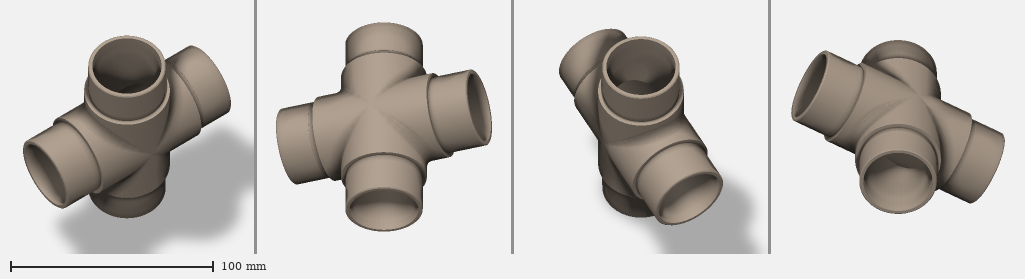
import cadquery as cq

span = 100.0
body_length = 60.0
body_diameter = 42.4
spigot_diameter = 38.3
neck_diameter = 37.9
neck_length = 3.0
bore_diameter = 34.2
end_chamfer = 0.5
crotch_radius = 4.0

tube_planes = ("XY", "XZ")


def centred_cylinder(plane, diameter, length):
    """Cylinder centred on the origin, with its axis normal to the plane."""
    return cq.Workplane(plane).circle(diameter / 2).extrude(length / 2, both=True)


def cross(diameter, length):
    """Two equal cylinders crossing at the origin."""
    first, second = [centred_cylinder(plane, diameter, length) for plane in tube_planes]
    return first.union(second)


def spigot_pair(plane):
    """Solid rod whose chamfered ends are the spigots, narrowed to the neck in between."""
    neck_span = body_length + 2 * neck_length
    rod = centred_cylinder(plane, spigot_diameter, span).faces("%PLANE").chamfer(end_chamfer)
    neck = centred_cylinder(plane, neck_diameter, neck_span)
    return rod.cut(centred_cylinder(plane, spigot_diameter, neck_span)).union(neck)


result = cross(body_diameter, body_length).edges("%ELLIPSE").fillet(crotch_radius)
for tube_plane in tube_planes:
    result = result.union(spigot_pair(tube_plane))
result = result.cut(cross(bore_diameter, span))